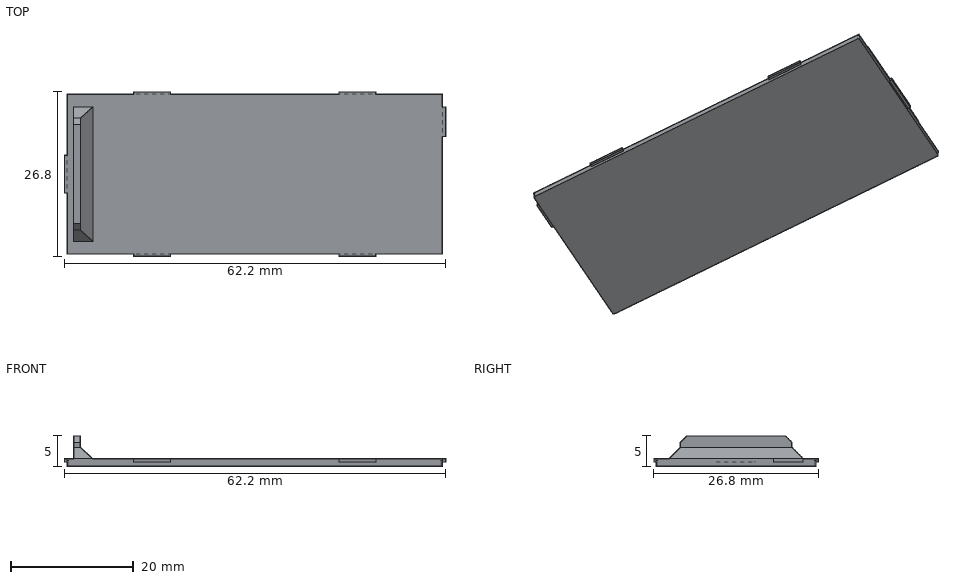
import cadquery as cq

overall_length = 62.2
overall_width = 26.8
overall_height = 5.0

plate_thickness = 1.25
lip_thickness = 0.25
corner_radius = 0.25
tab_thickness = 0.55
side_tab_reach = 0.4
left_tab_reach = 0.45
right_tab_reach = 0.55
plate_left = -overall_length / 2 + left_tab_reach
plate_right = overall_length / 2 - right_tab_reach
plate_center = (plate_left + plate_right) / 2
plate_length = plate_right - plate_left
plate_width = overall_width - 2 * side_tab_reach

side_tab_length = 6.05
side_tab_spacing = 33.45
left_tab_width = 6.15
right_tab_width = 4.85
right_tab_center = 8.5

grip_left = -29.6
grip_thickness = 1.1
grip_width = 18.2
grip_top_chamfer = 1.05
foot_height = 1.85
foot_run = 2.05
foot_end_run = 1.85
grip_height = overall_height - plate_thickness


def flush_tab(length, width, x, y):
    """Thin rectangular slab whose top is flush with the plate top."""
    slab = cq.Workplane("XY").box(length, width, tab_thickness, centered=(True, True, False))
    return slab.translate((x, y, plate_thickness - tab_thickness))


def make_plate():
    body_thickness = plate_thickness - lip_thickness
    body = cq.Workplane("XY").box(plate_length, plate_width, body_thickness, centered=(True, True, False))
    body = body.edges("|Z").fillet(corner_radius)
    lip = cq.Workplane("XY").box(plate_length, plate_width, lip_thickness, centered=(True, True, False))
    return body.union(lip.translate((0, 0, body_thickness))).translate((plate_center, 0, 0))


def make_tabs():
    left_x = plate_center - side_tab_spacing / 2
    right_x = plate_center + side_tab_spacing / 2
    tabs = flush_tab(side_tab_length, overall_width, left_x, 0)
    tabs = tabs.union(flush_tab(side_tab_length, overall_width, right_x, 0))

    left_tab = flush_tab(2 * left_tab_reach, left_tab_width, plate_left, 0)
    right_tab = flush_tab(2 * right_tab_reach, right_tab_width, plate_right, right_tab_center)
    return tabs.union(left_tab).union(right_tab)


def make_grip():
    half_width = grip_width / 2
    half_foot = half_width + foot_end_run
    half_top = half_width - grip_top_chamfer
    shoulder = grip_height - grip_top_chamfer
    foot_length = grip_thickness + foot_run

    end_outline = [
        (-half_foot, 0),
        (half_foot, 0),
        (half_width, foot_height),
        (half_width, shoulder),
        (half_top, grip_height),
        (-half_top, grip_height),
        (-half_width, shoulder),
        (-half_width, foot_height),
    ]
    side_outline = [
        (0, 0),
        (foot_length, 0),
        (grip_thickness, foot_height),
        (grip_thickness, grip_height),
        (0, grip_height),
    ]
    across = cq.Workplane("YZ").polyline(end_outline).close().extrude(foot_length)
    along = cq.Workplane("XZ").polyline(side_outline).close().extrude(half_foot, both=True)
    return across.intersect(along).translate((grip_left, 0, plate_thickness))


result = make_plate().union(make_tabs()).union(make_grip())